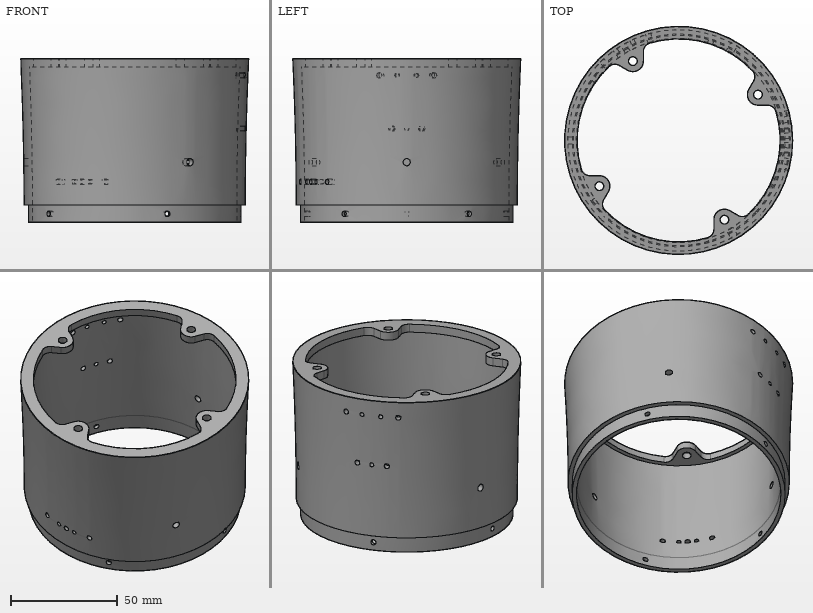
import cadquery as cq
import math

total_height = 76.88
top_radius = 53.605
body_bottom_radius = 52.0
wall = 4.0
bore_radius = body_bottom_radius - wall
rim_chamfer = 0.15

spigot_height = 8.0
spigot_radius = 50.0

flange_thickness = 4.0
flange_inner_radius = 47.6
lug_count = 4
lug_first_angle = 30.0
lug_center_radius = 43.0
lug_end_radius = 5.0
lug_flank_angle = 30.0
lug_root_fillet = 4.0
lug_hole_diameter = 4.0
rim_tolerance = 0.01

body_hole_diameter = 3.4
body_hole_height = 28.2
body_hole_angles = [60.0, 180.0, 300.0]

spigot_hole_diameter = 2.5
spigot_hole_height = spigot_height / 2
spigot_hole_count = 5

large_port_diameter = 2.5
small_port_diameter = 2.0
upper_port_angle = 0.0
upper_port_height = 69.0
middle_port_height = 44.0
lower_port_angle = 120.0
lower_port_height = 19.0
outer_port_offset = 14.0
inner_port_offset = 5.0
middle_port_offset = 8.0

flare_top = total_height - rim_chamfer
flare_height = flare_top - spigot_height
flare_growth = top_radius - body_bottom_radius
flare_arc_radius = (flare_height**2 + flare_growth**2) / (2 * flare_growth)


def flare_radius(height, base_radius):
    """Radius at a height of a flared surface that starts at base_radius."""
    rise = height - spigot_height
    return base_radius + flare_arc_radius - math.sqrt(flare_arc_radius**2 - rise**2)


def make_shell():
    """Revolved wall: spigot below, flared body above."""
    middle_height = spigot_height + flare_height / 2
    profile = (
        cq.Workplane("XZ")
        .moveTo(bore_radius, 0)
        .lineTo(spigot_radius, 0)
        .lineTo(spigot_radius, spigot_height)
        .lineTo(body_bottom_radius, spigot_height)
        .threePointArc(
            (flare_radius(middle_height, body_bottom_radius), middle_height),
            (top_radius, flare_top),
        )
        .lineTo(top_radius - rim_chamfer, total_height)
        .lineTo(flare_radius(total_height, bore_radius), total_height)
        .threePointArc(
            (flare_radius(middle_height, bore_radius), middle_height),
            (bore_radius, spigot_height),
        )
    )
    return profile.close().revolve(360, (0, 0, 0), (0, 1, 0))


def make_lug():
    """Rounded lug on the +X side whose flanks spread outward to the flange."""
    flank = math.radians(lug_flank_angle)
    tangent_x = lug_center_radius - lug_end_radius * math.sin(flank)
    tangent_y = lug_end_radius * math.cos(flank)
    root_x = (flange_inner_radius + top_radius) / 2
    root_y = tangent_y + (root_x - tangent_x) * math.tan(flank)
    return (
        cq.Workplane("XY")
        .moveTo(root_x, -root_y)
        .lineTo(tangent_x, -tangent_y)
        .threePointArc((lug_center_radius - lug_end_radius, 0), (tangent_x, tangent_y))
        .lineTo(root_x, root_y)
        .close()
        .extrude(flange_thickness)
    )


def make_flange():
    """Inward ring with filleted lugs and their screw holes."""
    flange_bottom = total_height - flange_thickness
    ring_radius = flare_radius(flange_bottom, body_bottom_radius) - wall / 2
    flange = cq.Workplane("XY").circle(ring_radius).circle(flange_inner_radius).extrude(flange_thickness)
    lug = make_lug().intersect(cq.Workplane("XY").circle(ring_radius).extrude(flange_thickness))
    angles = [lug_first_angle + i * 360 / lug_count for i in range(lug_count)]
    for angle in angles:
        flange = flange.union(lug.rotate((0, 0, 0), (0, 0, 1), angle))

    roots = [
        edge
        for edge in flange.edges("|Z").vals()
        if math.isclose(
            math.hypot(edge.Center().x, edge.Center().y), flange_inner_radius, abs_tol=rim_tolerance
        )
    ]
    flange = flange.newObject(roots).fillet(lug_root_fillet)

    for angle in angles:
        x = lug_center_radius * math.cos(math.radians(angle))
        y = lug_center_radius * math.sin(math.radians(angle))
        flange = flange.cut(
            cq.Workplane("XY").center(x, y).circle(lug_hole_diameter / 2).extrude(flange_thickness)
        )
    return flange.translate((0, 0, flange_bottom))


def radial_hole(diameter, height, angle):
    """Cylinder running outward from the axis at a height and an angle."""
    return (
        cq.Workplane("YZ")
        .center(0, height)
        .circle(diameter / 2)
        .extrude(top_radius + wall)
        .rotate((0, 0, 0), (0, 0, 1), angle)
    )


def drill_holes(part):
    """All the radial holes through the wall."""
    holes = [(body_hole_diameter, body_hole_height, angle) for angle in body_hole_angles]
    for i in range(spigot_hole_count):
        holes.append((spigot_hole_diameter, spigot_hole_height, i * 360 / spigot_hole_count))
    for side in (-1, 1):
        holes += [
            (large_port_diameter, upper_port_height, upper_port_angle + side * outer_port_offset),
            (small_port_diameter, upper_port_height, upper_port_angle + side * inner_port_offset),
            (large_port_diameter, middle_port_height, upper_port_angle + side * middle_port_offset),
            (large_port_diameter, lower_port_height, lower_port_angle + side * outer_port_offset),
            (small_port_diameter, lower_port_height, lower_port_angle + side * inner_port_offset),
        ]
    holes.append((small_port_diameter, middle_port_height, upper_port_angle))
    holes.append((large_port_diameter, lower_port_height, lower_port_angle))
    for diameter, height, angle in holes:
        part = part.cut(radial_hole(diameter, height, angle))
    return part


result = drill_holes(make_shell().union(make_flange()))